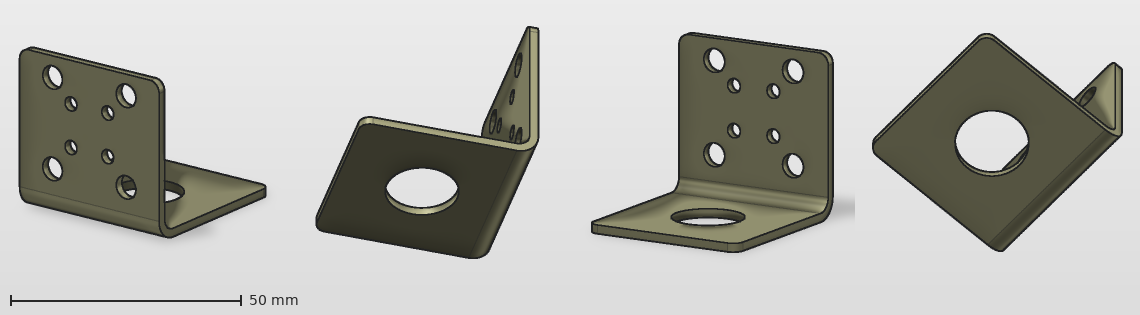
import cadquery as cq

width = 38.0
depth = 39.85
height = 36.87
thickness = 2.0
inner_bend_radius = 3.0
outer_bend_radius = inner_bend_radius + thickness
corner_radius = 2.5

opening_diameter = 16.0
opening_y = depth - width / 2

large_hole_diameter = 5.3
large_spacing_x = 20.0
large_spacing_z = 21.0
large_top_offset = 5.0
small_hole_diameter = 3.2
small_spacing = 10.0
small_top_offset = 10.0


def bent_sheet():
    """L-shaped sheet, upright at the front (Y = 0), centred on X = 0."""
    base = cq.Workplane("XY").box(width, depth, thickness, centered=(True, False, False))
    upright = cq.Workplane("XY").box(width, thickness, height, centered=(True, False, False))
    sheet = base.union(upright)
    inner_edge = cq.selectors.NearestToPointSelector((0, thickness, thickness))
    outer_edge = cq.selectors.NearestToPointSelector((0, 0, 0))
    sheet = sheet.edges(inner_edge).fillet(inner_bend_radius)
    return sheet.edges(outer_edge).fillet(outer_bend_radius)


def round_free_corners(sheet):
    """Round the two back corners of the base and the two top corners of the upright."""
    sheet = sheet.faces(">Y").edges("|Z").fillet(corner_radius)
    return sheet.faces(">Z").edges("|Y").fillet(corner_radius)


def upright_holes(diameter, spacing_x, spacing_z, top_offset):
    """Cutters for a rectangle of four holes through the upright plate."""
    center_z = height - top_offset - spacing_z / 2
    return (
        cq.Workplane("XZ", origin=(0, 0, center_z))
        .rect(spacing_x, spacing_z, forConstruction=True)
        .vertices()
        .circle(diameter / 2)
        .extrude(-thickness)
    )


opening = cq.Workplane("XY").center(0, opening_y).circle(opening_diameter / 2).extrude(thickness)

result = round_free_corners(bent_sheet()).cut(opening)
result = result.cut(upright_holes(large_hole_diameter, large_spacing_x, large_spacing_z, large_top_offset))
result = result.cut(upright_holes(small_hole_diameter, small_spacing, small_spacing, small_top_offset))